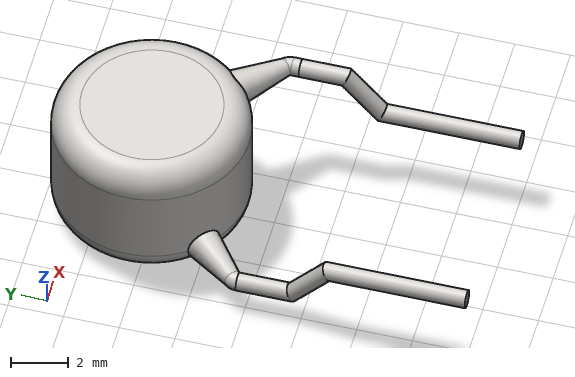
import cadquery as cq
import math

overall_length = 15.8
disc_diameter = 7.0
disc_height = 5.0
disc_edge_radius = 1.0
disc_radius = disc_diameter / 2

lead_diameter = 0.65
lead_pitch = 7.5
lead_radius = lead_diameter / 2
lead_x = -lead_pitch / 2
lead_exit_z = -(disc_height / 2 - disc_edge_radius)
lead_tip_y = disc_radius - overall_length
elbow_end_y = -4.08
right_lead_start_y = -4.38
first_bend_y = -6.0
second_bend_y = -7.3

elbow_bend_radius = 0.33
elbow_pivot_x = lead_x + elbow_bend_radius
pivot_distance = math.hypot(elbow_pivot_x, elbow_end_y)
pivot_angle = math.atan2(-elbow_end_y, -elbow_pivot_x)
exit_angle = pivot_angle - math.asin(elbow_bend_radius / pivot_distance)
elbow_turn = 90 - math.degrees(exit_angle)

cone_half_angle = 9.5
cone_tip_distance = math.sqrt(pivot_distance**2 - elbow_bend_radius**2)
cone_root_distance = disc_radius / 2
cone_length = cone_tip_distance - cone_root_distance
cone_root_radius = lead_radius + cone_length * math.tan(math.radians(cone_half_angle))


def make_disc():
    """Round disc with both rims rounded."""
    disc = cq.Workplane("XY").cylinder(disc_height, disc_radius)
    return disc.edges("%CIRCLE").fillet(disc_edge_radius)


def wire_section(y):
    """Wire cross-section at the exit height, facing -Y."""
    return cq.Workplane("XZ", origin=(lead_x, y, lead_exit_z)).circle(lead_radius)


def make_cone():
    """Tapered root of a socket, starting inside the disc."""
    outward = cq.Vector(-math.cos(exit_angle), -math.sin(exit_angle), 0)
    root = outward * cone_root_distance + cq.Vector(0, 0, lead_exit_z)
    return cq.Workplane(cq.Solid.makeCone(cone_root_radius, lead_radius, cone_length, root, outward))


def make_elbow():
    """Short bend that turns the socket from the cone axis to -Y."""
    axis_start = (elbow_bend_radius, 0.16, 0)
    axis_end = (elbow_bend_radius, 0, 0)
    return wire_section(elbow_end_y).revolve(elbow_turn, axis_start, axis_end)


def make_socket(disc, end_y):
    """Left socket: cone trimmed to the disc surface, elbow, and a straight stub if it ends past the elbow."""
    socket = make_cone().cut(disc).union(make_elbow())
    stub_length = elbow_end_y - end_y
    if stub_length > 0:
        socket = socket.union(wire_section(elbow_end_y).extrude(stub_length))
    return socket


def make_lead(start_y):
    """Left lead: wire with a mitred step from the exit height to the plane z = 0."""
    path = (
        cq.Workplane("YZ", origin=(lead_x, 0, 0))
        .moveTo(start_y, lead_exit_z)
        .lineTo(first_bend_y, lead_exit_z)
        .lineTo(second_bend_y, 0)
        .lineTo(lead_tip_y, 0)
    )
    return wire_section(start_y).sweep(path, transition="right")


disc = make_disc()

sockets = []
leads = []
for lead_start_y, turn in ((elbow_end_y, 0), (right_lead_start_y, 180)):
    sockets.append(make_socket(disc, lead_start_y).rotate((0, 0, 0), (0, 1, 0), turn))
    leads.append(make_lead(lead_start_y).rotate((0, 0, 0), (0, 1, 0), turn))

result = cq.Compound.makeCompound(
    [disc.val(), *[socket.val() for socket in sockets], *[lead.val() for lead in leads]]
)